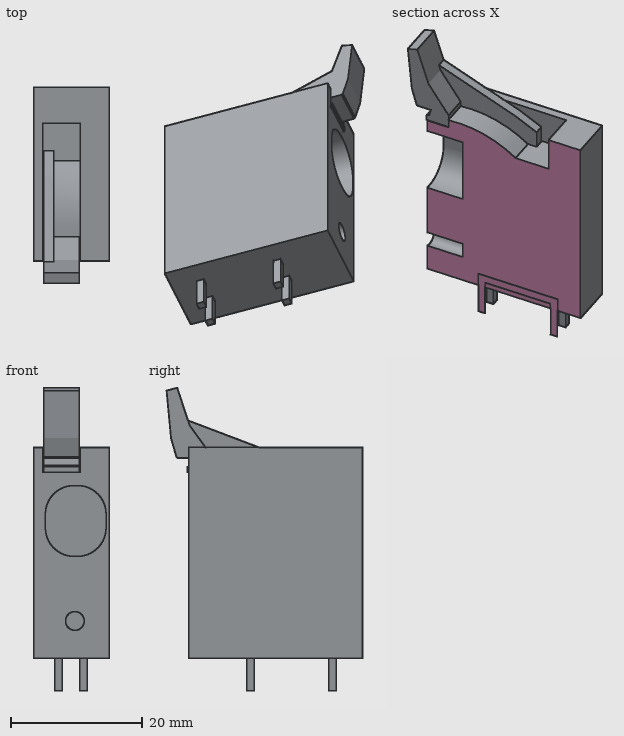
import cadquery as cq
import math


HOUSING_WIDTH = 11.57
HOUSING_DEPTH = 26.5
HOUSING_HEIGHT = 32.2

POCKET_LEFT = 1.4
POCKET_WIDTH = 5.72
POCKET_BACK = 21.0
SILL_Z = HOUSING_HEIGHT - 3.77
FLOOR_Z = HOUSING_HEIGHT - 5.5

SADDLE_RADIUS = 17.2
SADDLE_CREST_Y = 5.33
SADDLE_FRONT = 3.67
SADDLE_BACK = 15.3

ENTRY_WIDTH = 9.26
ENTRY_HEIGHT = 10.8
ENTRY_CORNER = 4.36
ENTRY_X = 6.43
ENTRY_Z = 20.97
ENTRY_DEPTH = 6.1

TEST_HOLE_DIAMETER = 2.86
TEST_HOLE_X = 6.3
TEST_HOLE_Z = 5.72
TEST_HOLE_DEPTH = 6.1

LEVER_GAP = 0.13
LEVER_LEFT = POCKET_LEFT + LEVER_GAP
LEVER_WIDTH = POCKET_WIDTH - 2 * LEVER_GAP
WEB_THICKNESS = 1.55
WEB_BACK = 16.8
WEB_KINK = 13.05
WEB_SLOPE = math.radians(20.8)
WEB_TAIL_SLOPE = math.radians(26)
HANDLE_ROOT = (-0.1, 36.3)
HANDLE_TIP_BACK = (-1.75, 41.29)
HANDLE_TIP_FRONT = (-3.4, 40.85)
HANDLE_KNEE = (-2.72, 33.6)
HANDLE_HEEL = (-1.9, 30.75)
HEEL_CHAMFER = 0.2
TOE_FRONT = -0.2
TOE_HEIGHT = 0.77
TOE_DEPTH = 0.5
TOE_SLOPE = math.radians(28)
THROAT_SLOPE = math.radians(76)
FLANK_DROP = 0.84
FLANK_SLOPE = math.radians(54)

LEG_SIZE = 1.18
LEG_LENGTH = 4.95
LEG_ROWS_X = (3.8, 7.62)
LEG_FRONT_Y = 9.43
LEG_BACK_Y = 21.9
BAR_BOTTOM = 1.0


def extrude_along_x(outline, start, width):
    """Extrude a closed Y-Z outline from X = start towards +X."""
    return outline.extrude(width).translate((start, 0, 0))


def saddle_z(y):
    """Height of the saddle surface, whose back end runs out on the pocket floor."""
    def rise(at):
        return math.sqrt(SADDLE_RADIUS**2 - (at - SADDLE_CREST_Y) ** 2)
    return FLOOR_Z + rise(y) - rise(SADDLE_BACK)


def make_pocket():
    outline = (
        cq.Workplane("YZ")
        .moveTo(0, HOUSING_HEIGHT)
        .lineTo(0, SILL_Z)
        .lineTo(SADDLE_FRONT, SILL_Z)
        .lineTo(SADDLE_FRONT, saddle_z(SADDLE_FRONT))
        .threePointArc(
            ((SADDLE_FRONT + SADDLE_BACK) / 2, saddle_z((SADDLE_FRONT + SADDLE_BACK) / 2)),
            (SADDLE_BACK, FLOOR_Z),
        )
        .lineTo(POCKET_BACK, FLOOR_Z)
        .lineTo(POCKET_BACK, HOUSING_HEIGHT)
        .close()
    )
    return extrude_along_x(outline, POCKET_LEFT, POCKET_WIDTH)


def make_wire_entry():
    return (
        cq.Workplane("XY")
        .box(ENTRY_WIDTH, ENTRY_DEPTH, ENTRY_HEIGHT, centered=(True, False, True))
        .edges("|Y")
        .fillet(ENTRY_CORNER)
        .translate((ENTRY_X, 0, ENTRY_Z))
    )


def make_test_hole():
    return (
        cq.Workplane("XZ", origin=(TEST_HOLE_X, 0, TEST_HOLE_Z))
        .circle(TEST_HOLE_DIAMETER / 2)
        .extrude(-TEST_HOLE_DEPTH)
    )


def make_contact(x):
    """One row: two legs under the housing and the bar that joins them."""
    bar_length = LEG_BACK_Y - LEG_FRONT_Y + LEG_SIZE
    contact = (
        cq.Workplane("XY", origin=(x, (LEG_FRONT_Y + LEG_BACK_Y) / 2, BAR_BOTTOM))
        .rect(LEG_SIZE, bar_length)
        .extrude(LEG_SIZE)
    )
    for y in (LEG_FRONT_Y, LEG_BACK_Y):
        leg = (
            cq.Workplane("XY", origin=(x, y, -LEG_LENGTH))
            .rect(LEG_SIZE, LEG_SIZE)
            .extrude(LEG_LENGTH + BAR_BOTTOM)
        )
        contact = contact.union(leg)
    return contact


def make_housing(contacts):
    housing = cq.Workplane("XY").box(HOUSING_WIDTH, HOUSING_DEPTH, HOUSING_HEIGHT, centered=False)
    housing = housing.cut(make_pocket()).cut(make_wire_entry()).cut(make_test_hole())
    for contact in contacts:
        housing = housing.cut(contact)
    return housing


def make_lever_web(housing):
    """Thin side plate with a sloping top, resting on the saddle and the pocket floor."""
    root_y, root_z = HANDLE_ROOT
    kink_z = root_z - (WEB_KINK - root_y) * math.tan(WEB_SLOPE)
    back_z = kink_z - (WEB_BACK - WEB_KINK) * math.tan(WEB_TAIL_SLOPE)
    outline = cq.Workplane("YZ").polyline([
        (SADDLE_FRONT, FLOOR_Z),
        (WEB_BACK, FLOOR_Z),
        (WEB_BACK, back_z),
        (WEB_KINK, kink_z),
        (SADDLE_FRONT, root_z - (SADDLE_FRONT - root_y) * math.tan(WEB_SLOPE)),
    ]).close()
    return extrude_along_x(outline, LEVER_LEFT, WEB_THICKNESS).cut(housing)


def make_lever_handle(drop, width, back_slope):
    """Front part with the handle; its back bends into a slope, `drop` below the web's top end."""
    root_y, root_z = HANDLE_ROOT
    tip_y, tip_z = HANDLE_TIP_BACK
    lean = (root_y - tip_y) / (tip_z - root_z)
    bend_y = root_y + drop * lean
    bend_z = root_z - drop
    slope_end_z = bend_z - (SADDLE_FRONT - bend_y) * math.tan(back_slope)
    heel_y, heel_z = HANDLE_HEEL
    heel_bottom = heel_z - HEEL_CHAMFER
    toe_front_z = SILL_Z + TOE_HEIGHT
    toe_back = TOE_FRONT + TOE_DEPTH
    toe_back_z = toe_front_z + TOE_DEPTH * math.tan(TOE_SLOPE)
    throat_top = toe_back + (heel_bottom - toe_back_z) / math.tan(THROAT_SLOPE)
    outline = cq.Workplane("YZ").polyline([
        (bend_y, bend_z),
        HANDLE_TIP_BACK,
        HANDLE_TIP_FRONT,
        HANDLE_KNEE,
        HANDLE_HEEL,
        (heel_y + HEEL_CHAMFER, heel_bottom),
        (throat_top, heel_bottom),
        (toe_back, toe_back_z),
        (TOE_FRONT, toe_front_z),
        (TOE_FRONT, SILL_Z),
        (SADDLE_FRONT, SILL_Z),
        (SADDLE_FRONT, slope_end_z),
    ]).close()
    return extrude_along_x(outline, LEVER_LEFT, width)


def make_lever(housing):
    return (
        make_lever_handle(FLANK_DROP, LEVER_WIDTH, FLANK_SLOPE)
        .union(make_lever_handle(0, WEB_THICKNESS, WEB_SLOPE))
        .union(make_lever_web(housing))
        .clean()
    )


contacts = [make_contact(x) for x in LEG_ROWS_X]
housing = make_housing(contacts)
lever = make_lever(housing)

result = cq.Compound.makeCompound([housing.val(), lever.val(), *[contact.val() for contact in contacts]])